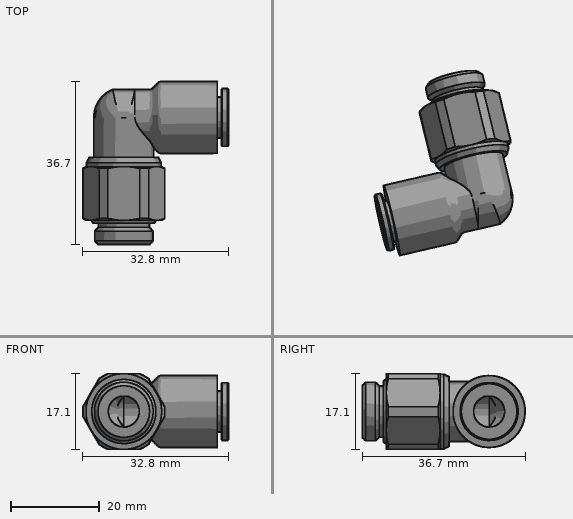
import cadquery as cq
import math


stem_radius = 6.8
branch_neck_radius = 6.3
dome_trim_offset = stem_radius - branch_neck_radius

branch_radius = 8.1
shoulder_start = 6.15
shoulder_length = branch_radius - branch_neck_radius
shoulder_fillet = 0.9
branch_end = 21.05
release_neck_radius = 4.63
release_flange_radius = 6.55
release_flange_start = 21.9
release_flange_end = 23.55
release_chamfer = 0.3

stem_end = branch_radius - 36.7
collar_radius = 8.45
collar_chamfer_radius = 7.82
collar_start = -9.0
collar_chamfer_end = -10.2
hex_start = -11.05
hex_end = -23.13
hex_flats = 17.05
hex_corner_radius = 9.25
hex_chamfer_angle = 30
spigot_neck_radius = 5.8
spigot_radius = 6.6
spigot_cone_start = -24.7
spigot_cone_end = -25.6
spigot_chamfer = 0.8
ring_radius = 6.55
ring_section_radius = 0.7

bore_radius = 3.5
bore_tip_length = 3.12


def revolve_about_x(points):
    """Revolve an (x, radius) outline about the X axis."""
    return cq.Workplane("XY").polyline(points).close().revolve(360, (0, 0, 0), (1, 0, 0))


def revolve_about_y(points):
    """Revolve a (radius, y) outline about the Y axis."""
    return cq.Workplane("XY").polyline(points).close().revolve(360, (0, 0, 0), (0, 1, 0))


def make_dome():
    """Spherical elbow corner, flattened on its +Y side by an offset cylinder along X."""
    trim = (
        cq.Workplane("YZ")
        .center(-dome_trim_offset, 0)
        .circle(stem_radius)
        .extrude(stem_radius, both=True)
    )
    front_half = cq.Workplane("XY").box(
        2 * stem_radius, stem_radius, 2 * stem_radius, centered=(True, False, True)
    )
    return cq.Workplane("XY").sphere(stem_radius).intersect(trim).intersect(front_half)


def make_branch():
    shoulder_end = shoulder_start + shoulder_length
    body = cq.Workplane("YZ").circle(branch_neck_radius).extrude(shoulder_start)
    shoulder = revolve_about_x([
        (shoulder_start, 0),
        (shoulder_start, branch_neck_radius),
        (shoulder_end, branch_radius),
        (branch_end, branch_radius),
        (branch_end, 0),
    ])
    shoulder_box = cq.selectors.BoxSelector(
        (shoulder_start - 0.35, -branch_radius - 0.35, -branch_radius - 0.35),
        (shoulder_end + 0.35, branch_radius + 0.35, branch_radius + 0.35),
    )
    body = body.union(shoulder).edges("%CIRCLE").edges(shoulder_box).fillet(shoulder_fillet)
    release_neck = (
        cq.Workplane("YZ", origin=(branch_end, 0, 0))
        .circle(release_neck_radius)
        .extrude(release_flange_start - branch_end)
    )
    release_flange = (
        cq.Workplane("YZ", origin=(release_flange_start, 0, 0))
        .circle(release_flange_radius)
        .extrude(release_flange_end - release_flange_start)
        .edges()
        .chamfer(release_chamfer)
    )
    return body.union(release_neck).union(release_flange)


def make_hex_nut():
    """Hexagon with flats facing +Z and -Z, rounded corners and chamfered ends."""
    hexagon = (
        cq.Workplane("XZ", origin=(0, hex_start, 0))
        .polygon(6, hex_flats / math.cos(math.pi / 6))
        .extrude(hex_start - hex_end)
    )
    face_radius = hex_flats / 2
    chamfer_height = (hex_corner_radius - face_radius) * math.tan(math.radians(hex_chamfer_angle))
    envelope = revolve_about_y([
        (0, hex_start),
        (face_radius, hex_start),
        (hex_corner_radius, hex_start - chamfer_height),
        (hex_corner_radius, hex_end + chamfer_height),
        (face_radius, hex_end),
        (0, hex_end),
    ])
    return hexagon.intersect(envelope)


def make_stem():
    """Round parts of the stem: elbow leg, collar, and grooved spigot."""
    return revolve_about_y([
        (0, 0),
        (stem_radius, 0),
        (stem_radius, collar_start),
        (collar_chamfer_radius, collar_start),
        (collar_radius, collar_chamfer_end),
        (collar_radius, hex_start),
        (spigot_neck_radius, hex_start),
        (spigot_neck_radius, spigot_cone_start),
        (spigot_radius, spigot_cone_end),
        (spigot_radius, stem_end + spigot_chamfer),
        (spigot_radius - spigot_chamfer, stem_end),
        (0, stem_end),
    ])


def make_seal_ring():
    """Round seal bedded halfway into the lower face of the hexagon."""
    return (
        cq.Workplane("XY")
        .center(ring_radius, hex_end)
        .circle(ring_section_radius)
        .revolve(360, (-ring_radius, 0, 0), (-ring_radius, 1, 0))
    )


def make_passage():
    """Two bores with conical tips that meet in the elbow."""
    stem_bore = revolve_about_y([
        (0, bore_tip_length), (bore_radius, 0), (bore_radius, stem_end), (0, stem_end),
    ])
    branch_bore = revolve_about_x([
        (-bore_tip_length, 0), (0, bore_radius), (release_flange_end, bore_radius), (release_flange_end, 0),
    ])
    return stem_bore.union(branch_bore)


result = (
    make_stem()
    .union(make_dome())
    .union(make_branch())
    .union(make_hex_nut())
    .union(make_seal_ring())
    .cut(make_passage())
)